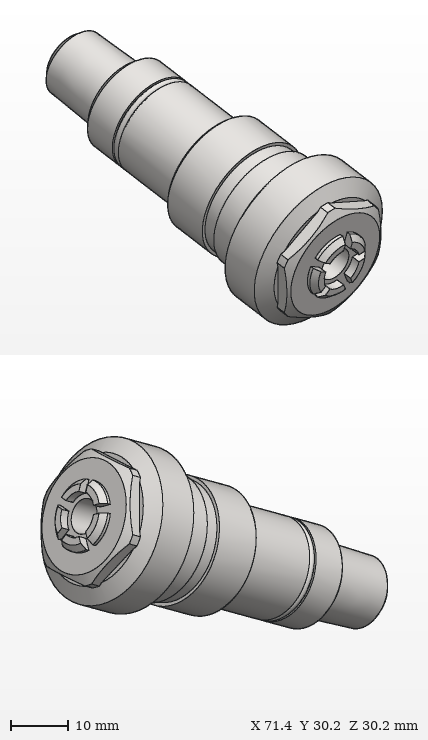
import cadquery as cq
import math

length = 71.4

bore_diameter = 6.4
nose_front_radius = 6.65
nose_rear_radius = 7.0
nose_chamfer = 1.35
nose_end = 14.2

shank_diameter = 18.85
shank_chamfer = 1.1
ring_floor_diameter = 17.6
ring_groove_start = 21.8
ring_width = 1.35
ring_groove_width = 1.6

body_diameter = 23.6
body_start = 38.4
body_chamfer = 0.5
body_groove_diameter = 22.35
body_groove_start = 47.95
body_groove_end = 50.95

flange_diameter = 30.25
flange_front = 55.6
flange_rim_start = 57.6
flange_rim_end = 65.2
flange_back = 66.95
flange_back_radius = 12.0

hex_across_flats = 22.2
hex_corner_radius = 12.35
hex_end = 69.65
hex_end_radius = 10.5
hex_chamfer_length = 1.0

crown_outer_radius = 6.6
crown_inner_radius = 4.15
crown_chamfer = 1.1
slot_count = 5
slot_width = 1.7
first_slot_angle = 0


def revolve_about_x(profile):
    """Revolve an (x, radius) profile drawn in the XY plane about the X axis."""
    return profile.close().revolve(360, (0, 0, 0), (1, 0, 0))


def rod(diameter, start, end):
    """Solid cylinder along X."""
    return cq.Workplane("YZ", origin=(start, 0, 0)).circle(diameter / 2).extrude(end - start)


def turned_body():
    """Nose, shank, body and flange in one revolved profile."""
    shank_radius = shank_diameter / 2
    body_radius = body_diameter / 2
    groove_radius = body_groove_diameter / 2
    flange_radius = flange_diameter / 2
    ring_floor = ring_floor_diameter / 2
    ring_middle = ring_groove_start + ring_width / 2
    ring_end = ring_groove_start + ring_width
    ring_groove_end = ring_groove_start + ring_groove_width

    profile = (
        cq.Workplane("XY")
        .moveTo(0, 0)
        .lineTo(0, nose_front_radius - nose_chamfer)
        .lineTo(nose_chamfer, nose_front_radius)
        .lineTo(nose_end, nose_rear_radius)
        .lineTo(nose_end, shank_radius - shank_chamfer)
        .lineTo(nose_end + shank_chamfer, shank_radius)
        .lineTo(ring_groove_start, shank_radius)
        .lineTo(ring_groove_start, ring_floor)
        .threePointArc((ring_middle, shank_radius), (ring_end, ring_floor))
        .lineTo(ring_groove_end, ring_floor)
        .lineTo(ring_groove_end, shank_radius)
        .lineTo(body_start, shank_radius)
        .lineTo(body_start, body_radius - body_chamfer)
        .lineTo(body_start + body_chamfer, body_radius)
        .lineTo(body_groove_start, body_radius)
        .lineTo(body_groove_start, groove_radius)
        .lineTo(body_groove_end, groove_radius)
        .lineTo(body_groove_end, body_radius)
        .lineTo(flange_front, body_radius)
        .lineTo(flange_rim_start, flange_radius)
        .lineTo(flange_rim_end, flange_radius)
        .lineTo(flange_back, flange_back_radius)
        .lineTo(flange_back, 0)
    )
    return revolve_about_x(profile)


def hex_nut():
    """Hexagon with flats facing -Y and +Y, trimmed by a round, end-chamfered blank."""
    across_corners = hex_across_flats / math.cos(math.radians(30))
    prism = (
        cq.Workplane("YZ", origin=(flange_rim_end, 0, 0))
        .transformed(rotate=(0, 0, 90))
        .polygon(6, across_corners)
        .extrude(hex_end - flange_rim_end)
    )
    blank = revolve_about_x(
        cq.Workplane("XY")
        .moveTo(flange_rim_end, 0)
        .lineTo(flange_rim_end, hex_corner_radius)
        .lineTo(hex_end - hex_chamfer_length, hex_corner_radius)
        .lineTo(hex_end, hex_end_radius)
        .lineTo(hex_end, 0)
    )
    return prism.intersect(blank)


def slotted_crown():
    """Chamfered tube split into equal segments by radial slots."""
    crown = (
        rod(2 * crown_outer_radius, hex_end, length)
        .faces(">X")
        .chamfer(crown_chamfer)
        .cut(rod(2 * crown_inner_radius, hex_end, length))
    )
    slot = cq.Workplane("XY").box(
        length - hex_end, crown_outer_radius, slot_width, centered=(False, False, True)
    ).translate((hex_end, 0, 0))
    for index in range(slot_count):
        angle = first_slot_angle + index * 360 / slot_count
        crown = crown.cut(slot.rotate((0, 0, 0), (1, 0, 0), angle))
    return crown


bore = rod(bore_diameter, 0, length)
result = turned_body().union(hex_nut()).union(slotted_crown()).cut(bore)